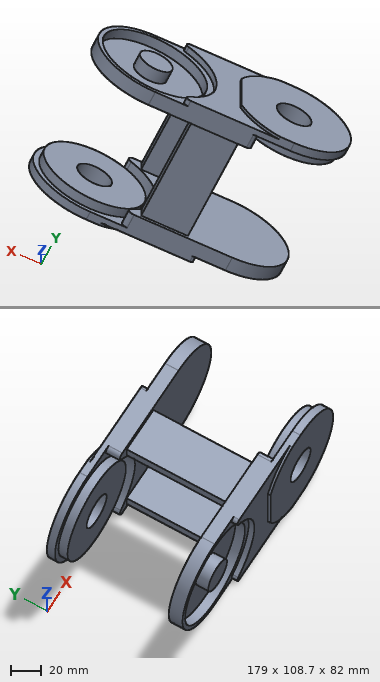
import cadquery as cq
import math

length = 179.0
height = 82.0
width = 108.7
end_radius = height / 2
pivot_x = length / 2 - end_radius

outer_face = width / 2
cap_thickness = 2.0
outer_plate_thickness = 4.3
inner_plate_thickness = 10.4
outer_plate_face = outer_face - cap_thickness
joint_face = outer_plate_face - outer_plate_thickness
inner_face = joint_face - inner_plate_thickness

clearance_radius = 42.2
outer_tip_radius = 2.7
inner_tip_radius = 3.5

cap_flat_x = 10.7
boss_radius = 36.7
boss_height = 6.8
hole_radius = 12.5
recess_radius = 37.6
recess_depth = 7.3
pin_radius = 11.8
pin_projection = 2.0

bar_length_x = 33.7
bar_thickness = 8.0
bar_top = 37.6


def disc(x, radius, y_near, y_far):
    """Cylinder along Y, between two distances on the -Y side."""
    return (
        cq.Workplane("XZ", origin=(0, -y_near, 0))
        .center(x, 0)
        .circle(radius)
        .extrude(y_far - y_near)
    )


def plate(direction, tip_radius, y_near, y_far):
    """Plate round at one end (direction +1 or -1 in X) and concave about the other pivot."""
    tip_z = end_radius - tip_radius
    tip_reach = clearance_radius + tip_radius
    tip_offset = math.sqrt(tip_reach**2 - tip_z**2)
    tip_x = tip_offset - pivot_x
    tangent_x = tip_offset * clearance_radius / tip_reach - pivot_x
    tangent_z = tip_z * clearance_radius / tip_reach

    tip_angle = (math.pi / 2 + math.atan2(-tip_z, -tip_offset) + 2 * math.pi) / 2
    tip_mid_x = tip_x + tip_radius * math.cos(tip_angle)
    tip_mid_z = tip_z + tip_radius * math.sin(tip_angle)

    def point(x, z):
        return (direction * x, z)

    return (
        cq.Workplane("XZ", origin=(0, -y_near, 0))
        .moveTo(*point(tip_x, end_radius))
        .lineTo(*point(pivot_x, end_radius))
        .threePointArc(point(length / 2, 0), point(pivot_x, -end_radius))
        .lineTo(*point(tip_x, -end_radius))
        .threePointArc(point(tip_mid_x, -tip_mid_z), point(tangent_x, -tangent_z))
        .threePointArc(point(clearance_radius - pivot_x, 0), point(tangent_x, tangent_z))
        .threePointArc(point(tip_mid_x, tip_mid_z), point(tip_x, end_radius))
        .close()
        .extrude(y_far - y_near)
    )


def cap():
    """Thin raised disc, trimmed to the plate height and by a flat facing the middle."""
    envelope = (
        cq.Workplane("XY")
        .box(length / 2 - cap_flat_x, width, height, centered=(False, True, True))
        .translate((cap_flat_x, 0, 0))
    )
    raised_disc = disc(pivot_x, clearance_radius, outer_plate_face, outer_face)
    rounded_end = plate(1, outer_tip_radius, outer_plate_face, outer_face)
    return raised_disc.intersect(envelope).intersect(rounded_end)


def side_assembly():
    """Joined plates on the -Y side, with pin and recess at -X and bored boss at +X."""
    inner = plate(-1, inner_tip_radius, inner_face, joint_face)
    inner = inner.cut(disc(-pivot_x, recess_radius, joint_face - recess_depth, joint_face))
    pin = disc(-pivot_x, pin_radius, joint_face - recess_depth, joint_face + pin_projection)
    outer = plate(1, outer_tip_radius, joint_face, outer_plate_face)
    boss = disc(pivot_x, boss_radius, joint_face - boss_height, joint_face)
    hole = disc(pivot_x, hole_radius, joint_face - boss_height, outer_face)
    return inner.union(pin).union(outer).union(boss).union(cap()).cut(hole)


def cross_bar(z_side):
    """Flat bar between the inner plates, above (+1) or below (-1) the centre."""
    bar_z = z_side * (bar_top - bar_thickness / 2)
    return cq.Workplane("XY").box(bar_length_x, 2 * inner_face, bar_thickness).translate((0, 0, bar_z))


front_side = side_assembly()
back_side = front_side.rotate((0, 0, 0), (0, 0, 1), 180)
result = front_side.union(back_side)
for z_side in (1, -1):
    result = result.union(cross_bar(z_side))